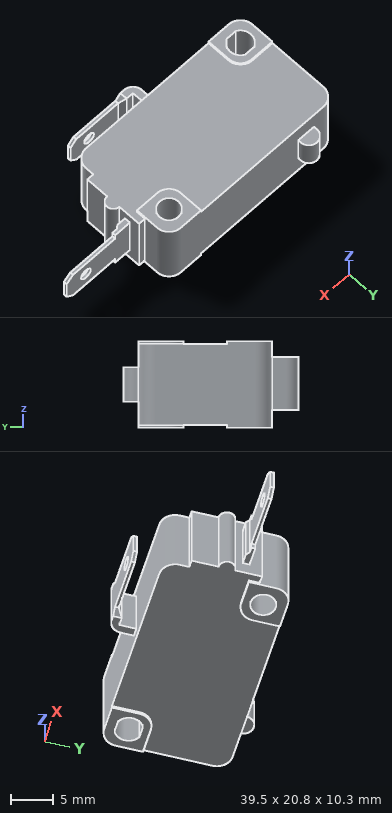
import cadquery as cq

body_length = 27.9
body_width = 15.88
body_height = 9.65
corner_radius = 1.98

overall_height = 10.3
pad_size = 5.37
pad_inner_radius = 1.98
hole_diameter = 3.1
hole_inset = 2.8
flatted_hole_diameter = 3.45

block_length = 1.0
block_width = 8.7
block_center_y = 7.5
rib_radius = 1.03

plunger_x = 4.85
plunger_width = 2.65
plunger_reach = 1.78
plunger_height = 4.15

terminal_z = 0.1
root_height = 6.32
blade_height = 4.75
blade_thickness = 0.47
terminal_hole_diameter = 1.6
tip_chamfer_height = 0.9

straight_tip_x = 39.5
straight_back_y = 10.3
straight_root_thickness = 0.83
straight_root_end = 31.35
straight_taper_start = 30.18
straight_taper_length = 0.47
straight_tip_length = 1.05
straight_hole_setback = 3.25

bent_x = 14.9
bent_drop = 3.15
bent_thickness = 1.05
bent_radius = 1.45
bent_foot_length = 2.15
bent_taper_length = 0.83
bent_length = 10.95
bent_tip_length = 0.95
bent_hole_setback = 3.12

embed = 0.4


def plate(x_min, x_max, y_min, y_max, height):
    """Box given by its XY limits, centred on Z = 0."""
    return (
        cq.Workplane("XY")
        .box(x_max - x_min, y_max - y_min, height, centered=(False, False, True))
        .translate((x_min, y_min, 0))
    )


def rounded_outline(height):
    """Housing outline, as a prism centred on Z = 0."""
    return plate(0, body_length, 0, body_width, height).edges("|Z").fillet(corner_radius)


def make_housing():
    near_pad = (
        plate(0, pad_size, 0, pad_size, overall_height)
        .edges("|Z and >X and >Y")
        .fillet(pad_inner_radius)
    )
    far_pad = (
        plate(body_length - pad_size, body_length, body_width - pad_size, body_width, overall_height)
        .edges("|Z and <X and <Y")
        .fillet(pad_inner_radius)
    )
    pads = rounded_outline(overall_height).intersect(near_pad.union(far_pad))
    return rounded_outline(body_height).union(pads)


def make_terminal_block():
    end_x = body_length + block_length
    y_min = block_center_y - block_width / 2
    block = plate(body_length - embed, end_x, y_min, y_min + block_width, body_height)
    rib = (
        cq.Workplane("XY")
        .center(end_x, block_center_y)
        .circle(rib_radius)
        .extrude(body_height / 2, both=True)
    )
    return block.union(rib)


def make_plunger():
    half_width = plunger_width / 2
    round_start = body_width + plunger_reach - half_width
    return (
        cq.Workplane("XY")
        .moveTo(plunger_x - half_width, body_width - embed)
        .lineTo(plunger_x - half_width, round_start)
        .threePointArc((plunger_x, body_width + plunger_reach), (plunger_x + half_width, round_start))
        .lineTo(plunger_x + half_width, body_width - embed)
        .close()
        .extrude(plunger_height / 2, both=True)
    )


def terminal_face(x_start, root_end, blade_start, tip_x, tip_length, hole_setback):
    """Terminal outline in XZ with its hole, as a prism along Y longer than the part is wide."""
    tip_start = tip_x - tip_length
    half_root = root_height / 2
    half_blade = blade_height / 2
    half_tip = half_blade - tip_chamfer_height
    upper = [
        (x_start, half_root),
        (root_end, half_root),
        (blade_start, half_blade),
        (tip_start, half_blade),
        (tip_x, half_tip),
    ]
    lower = [(x, -z) for x, z in reversed(upper)]
    hole = (
        cq.Workplane("XZ")
        .center(tip_x - hole_setback, 0)
        .circle(terminal_hole_diameter / 2)
        .extrude(body_width, both=True)
    )
    face = cq.Workplane("XZ").polyline(upper + lower).close().extrude(body_width, both=True)
    return face.cut(hole)


def make_straight_terminal():
    start_x = body_length + block_length - embed
    taper_end = straight_taper_start + straight_taper_length
    profile = (
        cq.Workplane("XY")
        .moveTo(start_x, straight_back_y)
        .lineTo(straight_tip_x, straight_back_y)
        .lineTo(straight_tip_x, straight_back_y - blade_thickness)
        .lineTo(taper_end, straight_back_y - blade_thickness)
        .lineTo(straight_taper_start, straight_back_y - straight_root_thickness)
        .lineTo(start_x, straight_back_y - straight_root_thickness)
        .close()
        .extrude(root_height / 2, both=True)
    )
    face = terminal_face(
        start_x,
        straight_root_end,
        straight_root_end,
        straight_tip_x,
        straight_tip_length,
        straight_hole_setback,
    )
    return profile.intersect(face).translate((0, 0, terminal_z))


def make_bent_terminal():
    foot_end = bent_x + bent_foot_length
    blade_start = foot_end + bent_taper_length
    tip_x = bent_x + bent_length
    inner_x = bent_x + bent_thickness
    profile = (
        cq.Workplane("XY")
        .moveTo(bent_x, embed)
        .lineTo(bent_x, bent_radius - bent_drop)
        .radiusArc((bent_x + bent_radius, -bent_drop), -bent_radius)
        .lineTo(tip_x, -bent_drop)
        .lineTo(tip_x, blade_thickness - bent_drop)
        .lineTo(blade_start, blade_thickness - bent_drop)
        .lineTo(foot_end, bent_thickness - bent_drop)
        .lineTo(inner_x, bent_thickness - bent_drop)
        .lineTo(inner_x, embed)
        .close()
        .extrude(root_height / 2, both=True)
    )
    face = terminal_face(bent_x, foot_end, blade_start, tip_x, bent_tip_length, bent_hole_setback)
    return profile.intersect(face).translate((0, 0, terminal_z))


def make_mounting_holes():
    near_circle = (
        cq.Workplane("XY")
        .center(hole_inset, hole_inset)
        .circle(flatted_hole_diameter / 2)
        .extrude(overall_height, both=True)
    )
    half_flats = hole_diameter / 2
    flats = plate(0, pad_size, hole_inset - half_flats, hole_inset + half_flats, overall_height)
    flatted_hole = near_circle.intersect(flats)
    round_hole = (
        cq.Workplane("XY")
        .center(body_length - hole_inset, body_width - hole_inset)
        .circle(hole_diameter / 2)
        .extrude(overall_height, both=True)
    )
    return flatted_hole.union(round_hole)


result = (
    make_housing()
    .union(make_terminal_block())
    .union(make_plunger())
    .cut(make_mounting_holes())
    .union(make_straight_terminal())
    .union(make_bent_terminal())
)